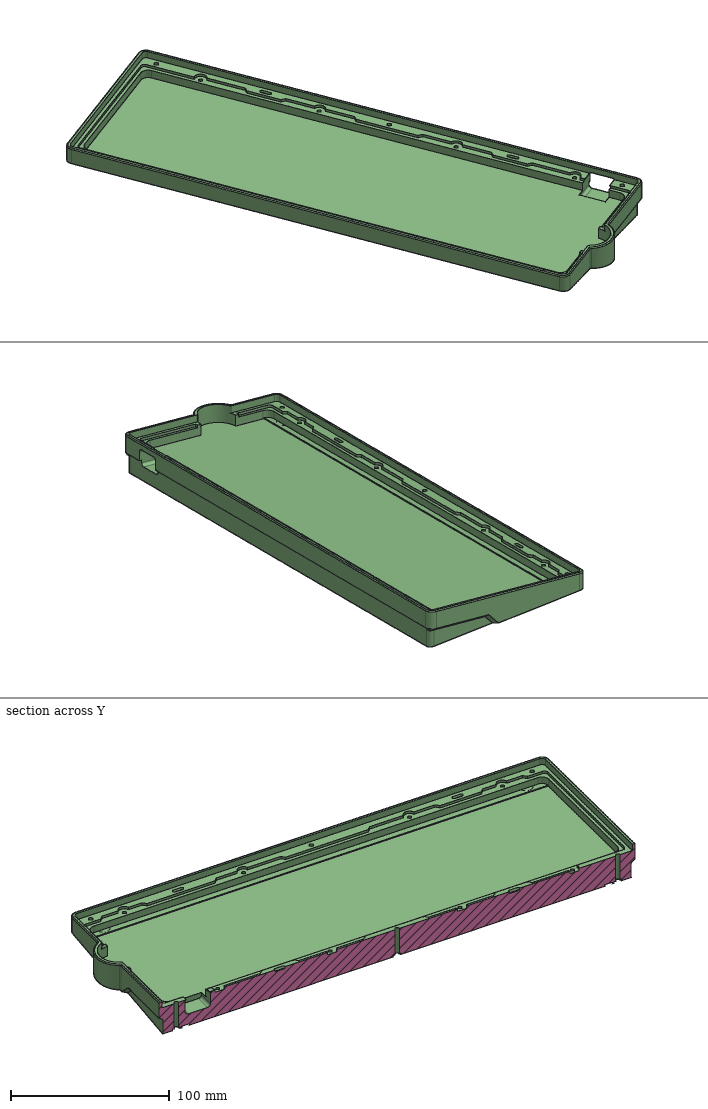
import cadquery as cq
import math

TOTAL_LENGTH = 356.5
BODY_LENGTH = 347.8
BODY_WIDTH = 118.8
HEIGHT = 26.0
TILT = 7.0
CORNER_RADIUS = 5.0
RIM_CHAMFER = 0.7

BODY_CENTRE_X = (BODY_LENGTH - TOTAL_LENGTH) / 2
TOP_Z = HEIGHT / 2
BOTTOM_Z = -HEIGHT / 2
RIGHT_X = BODY_CENTRE_X + BODY_LENGTH / 2

RIM_WALL = 2.32
RIM_CORNER_RADIUS = 2.5
UPPER_SHELF_Z = 8.2
SHELF_LENGTH, SHELF_WIDTH = 338.5, 100.2
SHELF_CORNER_RADIUS = 2.5
LOWER_SHELF_Z = 6.5
POCKET_LENGTH, POCKET_WIDTH = 334.2, 95.5
POCKET_CORNER_RADIUS = 5.0
FLOOR_Z = 0.7
FLOOR_STEP = 0.7
FLOOR_STEP_Y = -43.5

FOOT_SIDE_INSET = 3.0
FOOT_REAR_INSET = 1.8
FOOT_CORNER_RADIUS = CORNER_RADIUS - FOOT_REAR_INSET
FOOT_BEVEL_DROP = 2.0
FOOT_EDGE_Z = 0.7
FOOT_FRONT_Y = 14.5

TAB_X = RIGHT_X - (BODY_LENGTH - POCKET_LENGTH) / 2
TAB_Y = -9.0
TAB_RADIUS = TOTAL_LENGTH / 2 - TAB_X
TAB_WALL = 2.5
TAB_INNER_RADIUS = TAB_RADIUS - TAB_WALL
TAB_ROOT_RADIUS = 1.0
SHELF_TAB_GAP = 2.5

RELIEF_Y = 52.5
REAR_RELIEFS = [(-129.5, -97.0), (-73.5, -21.5), (21.5, 73.5), (97.0, 129.5)]
FRONT_RELIEFS = [(-156.0, -122.0), (-92.0, -39.5), (20.7, 72.5), (122.0, 156.0)]
PILOT_Y = 51.0
REAR_PILOTS = [-129.5, -47.5, 47.5, 129.5]
FRONT_PILOTS = [-138.0, -70.3, 51.0, 138.0]
PILOT_DIAMETER = 2.5
PILOT_DEPTH = 5.5
PILOT_RELIEF_DIAMETER = 8.2

SCREW_X, SCREW_Y = 161.2, 53.5
SCREW_DIAMETER = 2.8
SCREW_HEAD_DIAMETER = 5.5
SCREW_HEAD_DEPTH = 1.0

SLOT_LENGTH, SLOT_WIDTH, SLOT_DEPTH = 8.0, 2.0, 1.5
SLOT_TAPER = 25.0
SLOT_Y = 53.5
REAR_SLOTS = [-85.5, 85.5]
FRONT_SLOTS = [-106.5, 97.5]

PAD_DIAMETER, PAD_DEPTH = 9.0, 1.0
PAD_X, PAD_Y = 154.5, 50.0

PORT_X = 145.5
PORT_WIDTH = 18.2
PORT_RADIUS = 2.0
PORT_BOTTOM_Z, PORT_TOP_Z = -3.2, 9.0
PORT_FRONT_Y = 42.5


def underside_z(y):
    """Height of the sloped underside at a given Y."""
    return BOTTOM_Z + (BODY_WIDTH / 2 - FOOT_REAR_INSET - y) * math.tan(math.radians(TILT))


def rear_and_front(rear_xs, front_xs, y):
    """Points in one row along the rear shelf and one along the front shelf."""
    return [(x, y) for x in rear_xs] + [(x, -y) for x in front_xs]


def block(length, width, radius, bottom, top):
    """Upright block centred on the body with rounded vertical corners."""
    return (
        cq.Workplane("XY", origin=(BODY_CENTRE_X, 0, bottom))
        .rect(length, width)
        .extrude(top - bottom)
        .edges("|Z")
        .fillet(radius)
    )


def cylinders(points, diameter, bottom, top):
    """Upright cylinders at points measured from the body centre."""
    return (
        cq.Workplane("XY", origin=(BODY_CENTRE_X, 0, bottom))
        .pushPoints(points)
        .circle(diameter / 2)
        .extrude(top - bottom)
    )


def side_prism(points, length):
    """Prism along X, centred on the body, from a (Y, Z) outline."""
    return (
        cq.Workplane("YZ", origin=(BODY_CENTRE_X - length / 2, 0, 0))
        .polyline(points)
        .close()
        .extrude(length)
    )


def tab(radius, bottom, top):
    """Upright cylinder on the tab axis."""
    return cq.Workplane("XY", origin=(TAB_X, TAB_Y, bottom)).circle(radius).extrude(top - bottom)


def join_tab(body, side_x, radius, bottom, top):
    """Add the tab to a block and round the two inside corners where it leaves the block's side."""
    half_width = math.sqrt(radius**2 - (side_x - TAB_X) ** 2)
    margin = TAB_ROOT_RADIUS / 2
    root = cq.selectors.BoxSelector(
        (side_x - margin, TAB_Y - half_width - margin, bottom),
        (side_x + margin, TAB_Y + half_width + margin, top),
    )
    joined = body.union(tab(radius, bottom, top))
    return joined.edges("|Z").edges(root).fillet(TAB_ROOT_RADIUS)


def shell():
    """Solid outer form with the sloped underside and the rear foot."""
    rear, front = BODY_WIDTH, -BODY_WIDTH
    body = block(BODY_LENGTH, BODY_WIDTH, CORNER_RADIUS, BOTTOM_Z, TOP_Z)
    body = join_tab(body, RIGHT_X, TAB_RADIUS, BOTTOM_Z, TOP_Z)
    body = body.faces(">Z").edges().chamfer(RIM_CHAMFER)
    below = [
        (front, underside_z(front)),
        (rear, underside_z(rear)),
        (rear, 2 * BOTTOM_Z),
        (front, 2 * BOTTOM_Z),
    ]
    body = body.cut(side_prism(below, 2 * TOTAL_LENGTH))
    return body.cut(foot_surround())


def foot_surround_outline(inward):
    """(Y, Z) outline around the foot, its top and 45-degree front edges moved inward."""
    corner_y = FOOT_FRONT_Y + inward * (math.sqrt(2) - 1)
    corner_z = FOOT_EDGE_Z - inward
    bottom = 2 * BOTTOM_Z
    return [
        (BODY_WIDTH, corner_z),
        (corner_y, corner_z),
        (corner_y - (corner_z - bottom), bottom),
        (BODY_WIDTH, bottom),
    ]


def foot_surround():
    """Material removed around the foot, leaving a bevelled lip over each end."""
    foot = block(
        BODY_LENGTH - 2 * FOOT_SIDE_INSET, BODY_WIDTH - 2 * FOOT_REAR_INSET, FOOT_CORNER_RADIUS,
        2 * BOTTOM_Z, TOP_Z,
    )
    behind = (
        cq.Workplane("XY")
        .box(2 * TOTAL_LENGTH, BODY_WIDTH, BODY_WIDTH, centered=(True, False, True))
        .translate((0, BODY_WIDTH / 2 - FOOT_REAR_INSET, 0))
    )
    left_end = (
        cq.Workplane("YZ", origin=(BODY_CENTRE_X - BODY_LENGTH / 2, 0, 0))
        .polyline(foot_surround_outline(0))
        .close()
        .workplane(offset=FOOT_SIDE_INSET)
        .polyline(foot_surround_outline(FOOT_BEVEL_DROP))
        .close()
        .loft(ruled=True)
    )
    left_corner = (
        cq.Workplane("YZ", origin=(BODY_CENTRE_X - BODY_LENGTH / 2 + FOOT_SIDE_INSET, 0, 0))
        .polyline(foot_surround_outline(FOOT_BEVEL_DROP))
        .close()
        .extrude(FOOT_CORNER_RADIUS)
    )
    left_end = left_end.union(left_corner)
    right_end = left_end.mirror("YZ", (BODY_CENTRE_X, 0, 0))
    surround = side_prism(foot_surround_outline(0), BODY_LENGTH).cut(foot)
    return surround.intersect(behind.union(left_end).union(right_end))


def tray():
    """Everything removed from above: rim opening, both shelves, pocket and tab recess."""
    opening = block(
        BODY_LENGTH - 2 * RIM_WALL, BODY_WIDTH - 2 * RIM_WALL, RIM_CORNER_RADIUS,
        UPPER_SHELF_Z, TOP_Z,
    )
    shelf = block(SHELF_LENGTH, SHELF_WIDTH, SHELF_CORNER_RADIUS, LOWER_SHELF_Z, TOP_Z)
    pocket = block(POCKET_LENGTH, POCKET_WIDTH, POCKET_CORNER_RADIUS, FLOOR_Z, TOP_Z)
    step = (
        cq.Workplane("XY")
        .box(2 * TOTAL_LENGTH, BODY_WIDTH, FLOOR_STEP, centered=(True, False, False))
        .translate((0, FLOOR_STEP_Y - BODY_WIDTH, FLOOR_Z))
    )
    opening_x = RIGHT_X - RIM_WALL
    opening = join_tab(opening, opening_x, TAB_INNER_RADIUS, UPPER_SHELF_Z, TOP_Z)
    gap = (
        cq.Workplane("XY", origin=(TAB_X, TAB_Y, LOWER_SHELF_Z))
        .rect(TAB_RADIUS, 2 * (TAB_INNER_RADIUS + SHELF_TAB_GAP))
        .extrude(TOP_Z - LOWER_SHELF_Z)
    )
    shelf = shelf.cut(gap)
    pocket = pocket.cut(step).union(tab(TAB_INNER_RADIUS, FLOOR_Z, TOP_Z))
    return opening.union(shelf).union(pocket)


def reliefs():
    """Widened stretches of the lower shelf and round pockets about the pilot holes."""
    edge = SHELF_WIDTH / 2
    depth = RELIEF_Y - edge
    cuts = cylinders(pilot_points, PILOT_RELIEF_DIAMETER, LOWER_SHELF_Z, TOP_Z)
    for side, spans in ((1, REAR_RELIEFS), (-1, FRONT_RELIEFS)):
        for start, end in spans:
            outline = [
                (start, 0), (start, side * edge),
                (start + depth, side * RELIEF_Y), (end - depth, side * RELIEF_Y),
                (end, side * edge), (end, 0),
            ]
            cuts = cuts.union(
                cq.Workplane("XY", origin=(BODY_CENTRE_X, 0, LOWER_SHELF_Z))
                .polyline(outline)
                .close()
                .extrude(TOP_Z - LOWER_SHELF_Z)
            )
    return cuts


def shelf_slots():
    """Shallow slots with tapered walls in the upper shelf."""
    return (
        cq.Workplane("XY", origin=(BODY_CENTRE_X, 0, UPPER_SHELF_Z))
        .pushPoints(rear_and_front(REAR_SLOTS, FRONT_SLOTS, SLOT_Y))
        .slot2D(SLOT_LENGTH, SLOT_WIDTH)
        .extrude(-SLOT_DEPTH, taper=SLOT_TAPER)
    )


def underside_recess(points, diameter, depth):
    """Round recesses square to the sloped underside."""
    cuts = cq.Workplane("XY")
    for x, y in points:
        cuts = cuts.union(
            cq.Workplane("XY")
            .circle(diameter / 2)
            .extrude(2 * depth)
            .translate((0, 0, -depth))
            .rotate((0, 0, 0), (1, 0, 0), -TILT)
            .translate((BODY_CENTRE_X + x, y, underside_z(y)))
        )
    return cuts


def port():
    """Rounded opening through the rear wall, running on into the floor."""
    return (
        cq.Workplane("XY")
        .box(PORT_WIDTH, BODY_WIDTH, PORT_TOP_Z - PORT_BOTTOM_Z, centered=(True, False, False))
        .edges("|Y")
        .fillet(PORT_RADIUS)
        .translate((BODY_CENTRE_X + PORT_X, PORT_FRONT_Y, PORT_BOTTOM_Z))
    )


screw_points = [(x, y) for x in (-SCREW_X, 0, SCREW_X) for y in (-SCREW_Y, SCREW_Y)]
pad_points = [(x, y) for x in (-PAD_X, PAD_X) for y in (-PAD_Y, PAD_Y)]
pilot_points = rear_and_front(REAR_PILOTS, FRONT_PILOTS, PILOT_Y)

result = (
    shell()
    .cut(tray())
    .cut(reliefs())
    .cut(cylinders(pilot_points, PILOT_DIAMETER, LOWER_SHELF_Z - PILOT_DEPTH, LOWER_SHELF_Z))
    .cut(cylinders(screw_points, SCREW_DIAMETER, BOTTOM_Z, UPPER_SHELF_Z))
    .cut(shelf_slots())
    .cut(underside_recess(screw_points, SCREW_HEAD_DIAMETER, SCREW_HEAD_DEPTH))
    .cut(underside_recess(pad_points, PAD_DIAMETER, PAD_DEPTH))
    .cut(port())
)